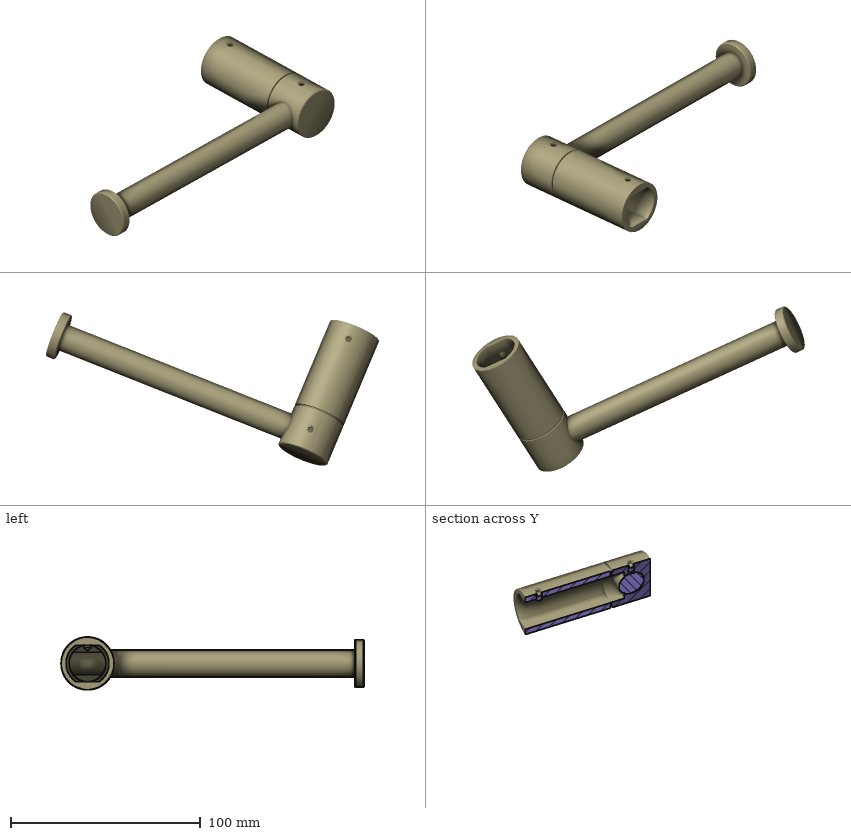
import cadquery as cq
import math

outer_diameter = 28.0
outer_radius = outer_diameter / 2
tube_length = 49.0
head_length = 22.0
head_chamfer = 0.5

tube_bore_radius = 11.3
bore_across_flats = 19.3

spacer_length = 1.04
spacer_radius = 13.0
spacer_hole_radius = bore_across_flats / 2

head_start = tube_length + spacer_length
head_end = head_start + head_length
head_bore_radius = spacer_hole_radius
head_bore_depth = 6.9

arm_x = head_start + head_length / 2
overall_length = 159.7
arm_reach = overall_length - outer_radius
rod_radius = 7.2
rod_inner_end = 11.2
knob_diameter = 25.0
knob_radius = knob_diameter / 2
knob_thickness = 5.0
knob_chamfer = 0.5

screw_radius = 2.0
screw_top = 13.5
screw_point = 6.5
screw_cone_height = 1.9
socket_across_flats = 3.0
socket_depth = 1.9
tube_screw_x = 8.1
screw_positions = [tube_screw_x, arm_x]


def cylinder_x(radius, start, end):
    """Cylinder on the main axis between two X positions."""
    return cq.Workplane("YZ").workplane(offset=start).circle(radius).extrude(end - start)


def cylinder_y(radius, start, end):
    """Cylinder on the arm axis between two Y positions."""
    return cq.Workplane("XZ", origin=(arm_x, start, 0)).circle(radius).extrude(start - end)


def make_screw_hole(x):
    """Close-fitting hole for a set screw, from the main axis up through the top wall."""
    return cq.Workplane("XY", origin=(x, 0, 0)).circle(screw_radius).extrude(outer_radius)


def make_tube():
    flats = cq.Workplane("XY").box(
        tube_length, 2 * tube_bore_radius, bore_across_flats, centered=(False, True, True)
    )
    bore = cylinder_x(tube_bore_radius, 0, tube_length).intersect(flats)
    tube = cylinder_x(outer_radius, 0, tube_length).cut(bore)
    return tube.cut(make_screw_hole(tube_screw_x))


def make_spacer():
    ring = cylinder_x(spacer_radius, tube_length, head_start)
    return ring.cut(cylinder_x(spacer_hole_radius, tube_length, head_start))


def make_arm(clamping_screw):
    """Rod and knob in one piece, with a seat for the point of the head's set screw."""
    knob_back = knob_thickness - arm_reach
    rod = cylinder_y(rod_radius, rod_inner_end, knob_back)
    knob = cylinder_y(knob_radius, knob_back, -arm_reach).edges().chamfer(knob_chamfer)
    return rod.union(knob).cut(clamping_screw)


def make_head():
    head = cylinder_x(outer_radius, head_start, head_end).faces(">X").edges().chamfer(head_chamfer)
    head = head.cut(cylinder_x(head_bore_radius, head_start, head_start + head_bore_depth))
    head = head.cut(cylinder_y(rod_radius, rod_inner_end, -outer_radius))
    return head.cut(make_screw_hole(arm_x))


def make_screw(x):
    half_profile = [
        (0, screw_point),
        (screw_radius, screw_point + screw_cone_height),
        (screw_radius, screw_top),
        (0, screw_top),
    ]
    body = cq.Workplane("XZ").polyline(half_profile).close().revolve(360, (0, 0), (0, 1))
    socket_across_corners = socket_across_flats / math.cos(math.pi / 6)
    socket = (
        cq.Workplane("XY")
        .workplane(offset=screw_top - socket_depth)
        .polygon(6, socket_across_corners)
        .extrude(socket_depth)
    )
    return body.cut(socket).translate((x, 0, 0))


tube = make_tube()
spacer = make_spacer()
head = make_head()
screws = [make_screw(x) for x in screw_positions]
arm = make_arm(screws[-1])

result = cq.Compound.makeCompound(
    [tube.val(), spacer.val(), head.val(), arm.val(), *[screw.val() for screw in screws]]
)